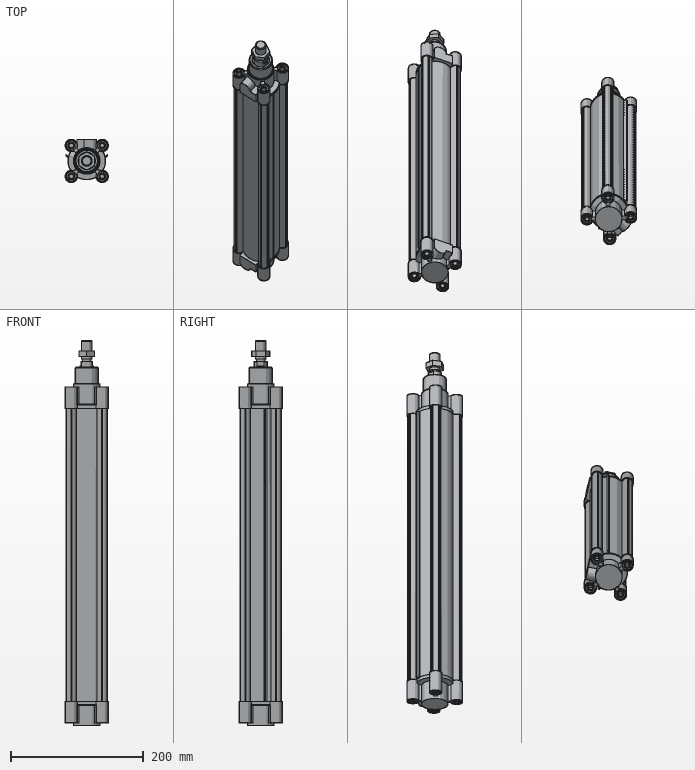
import cadquery as cq
import math


total_length = 580.0
cap_width = 65.0
lobe_diameter = 18.5
lobe_offset = (cap_width - lobe_diameter) / 2
lobe_centres = [(sx * lobe_offset, sy * lobe_offset) for sx in (-1, 1) for sy in (-1, 1)]

register_height = 4.0
cap_lobe_length = 32.5
cap_pair_length = 506.0
rear_barrel_end = register_height + cap_lobe_length
front_lobe_end = register_height + cap_pair_length
front_barrel_end = front_lobe_end - cap_lobe_length

neck_diameter = 40.0
plate_diameter = 56.5
plate_thickness = 5.0
plate_cone_height = 1.5
web_width = 6.0
port_block_width = 30.0
port_boss_diameter = 19.5
port_boss_offset = 5.25
port_boss_height = (plate_thickness + cap_lobe_length) / 2
screw_recess_steps = [(14.5, 1.0), (10.0, 3.0), (6.75, 14.0)]

front_register_height = 5.2
register_chamfer = 1.2
collar_diameter = 35.0
collar_top = 539.5
collar_chamfer = 1.4
collar_recess_diameter = 26.0
collar_recess_depth = 6.0

barrel_bore = 50.0
barrel_lobe_diameter = 16.0
lobe_groove_width = 1.5
lobe_groove_depth = 1.5
rail_root_x = 26.5
rail_tip_x = 31.0
rail_root_y = (3.5, 5.5)
rail_tip_y = (7.5, 9.5)

rod_diameter = 20.0
rod_flats = 17.0
rod_flats_length = 6.8
thread_diameter = 16.0
thread_length = 32.0
thread_chamfer = 1.5
undercut_diameter = 13.5
undercut_length = 3.5
shoulder_z = total_length - thread_length

nut_flats = 24.0
nut_height = 8.5
nut_bottom = 555.5


def cylinder(diameter, bottom, height, centres=((0, 0),)):
    """Upright cylinders of one diameter on the given centres."""
    return cq.Workplane("XY", origin=(0, 0, bottom)).pushPoints(centres).circle(diameter / 2).extrude(height)


def make_cap(neck_overhang):
    """End cap, barrel face on Z = 0 and lobe ends up; the neck rises past the lobes by the overhang."""
    neck_height = cap_lobe_length + neck_overhang
    neck_root = plate_thickness + plate_cone_height

    profile = [
        (0, 0),
        (plate_diameter / 2, 0),
        (plate_diameter / 2, plate_thickness),
        (neck_diameter / 2, neck_root),
        (neck_diameter / 2, neck_height),
        (0, neck_height),
    ]
    cap = cq.Workplane("XZ").polyline(profile).close().revolve()

    cap = cap.union(cylinder(lobe_diameter, 0, cap_lobe_length, lobe_centres))
    diagonal = 2 * math.hypot(lobe_offset, lobe_offset)
    for angle in (45, -45):
        web = cq.Workplane("XY").rect(diagonal, web_width).extrude(cap_lobe_length)
        cap = cap.union(web.rotate((0, 0, 0), (0, 0, 1), angle))

    port_block = (
        cq.Workplane("XY")
        .rect(port_block_width, cap_width / 2)
        .extrude(port_boss_height)
        .translate((0, cap_width / 4, 0))
    )
    port_boss = (
        cq.Workplane("XZ", origin=(port_boss_offset, 0, port_boss_height))
        .circle(port_boss_diameter / 2)
        .extrude(-cap_width / 2)
    )
    cap = cap.union(port_block).union(port_boss)

    for diameter, depth in screw_recess_steps:
        cap = cap.cut(cylinder(diameter, cap_lobe_length - depth, depth, lobe_centres))
    return cap


def make_front_cap():
    """Front cap with a register, a long collar and a passage for the rod."""
    cap = make_cap(front_register_height).translate((0, 0, front_barrel_end))
    cap = cap.faces(">Z").edges().chamfer(register_chamfer)
    collar = cylinder(collar_diameter, front_lobe_end, collar_top - front_lobe_end)
    collar = collar.faces(">Z").chamfer(collar_chamfer)
    cap = cap.union(collar)
    recess = cylinder(collar_recess_diameter, collar_top - collar_recess_depth, collar_recess_depth)
    rod_passage = cylinder(rod_diameter, front_barrel_end, collar_top - front_barrel_end)
    return cap.cut(recess).cut(rod_passage)


def make_rear_cap():
    """Rear cap, mirrored so that its lobe ends face down and its port still faces +Y."""
    return make_cap(register_height).mirror("XY").translate((0, 0, rear_barrel_end))


def make_barrel():
    """Round tube with four grooved corner lobes and a slanted sensor rail on each X side."""
    length = front_barrel_end - rear_barrel_end
    barrel = cylinder(plate_diameter, rear_barrel_end, length)
    barrel = barrel.union(cylinder(barrel_lobe_diameter, rear_barrel_end, length, lobe_centres))

    rail_points = [
        (rail_root_x, rail_root_y[0]),
        (rail_tip_x, rail_tip_y[0]),
        (rail_tip_x, rail_tip_y[1]),
        (rail_root_x, rail_root_y[1]),
    ]
    rail = cq.Workplane("XY", origin=(0, 0, rear_barrel_end)).polyline(rail_points).close().extrude(length)
    barrel = barrel.union(rail).union(rail.mirror("YZ"))

    lobe_reach = lobe_offset + barrel_lobe_diameter / 2
    groove = (
        cq.Workplane("XY", origin=(0, 0, rear_barrel_end))
        .pushPoints([(sx * lobe_offset, sy * lobe_reach) for sx in (-1, 1) for sy in (-1, 1)])
        .rect(lobe_groove_width, 2 * lobe_groove_depth)
        .extrude(length)
    )
    barrel = barrel.cut(groove).cut(groove.rotate((0, 0, 0), (0, 0, 1), 90))
    return barrel.cut(cylinder(barrel_bore, rear_barrel_end, length))


def make_rod():
    """Piston rod with wrench flats facing X, an undercut and a chamfered threaded end."""
    rod = cylinder(rod_diameter, front_barrel_end, shoulder_z - front_barrel_end)
    flats_zone = cylinder(2 * rod_diameter, shoulder_z - rod_flats_length, rod_flats_length)
    flats_core = (
        cq.Workplane("XY", origin=(0, 0, shoulder_z - rod_flats_length))
        .rect(rod_flats, 2 * rod_diameter)
        .extrude(rod_flats_length)
    )
    rod = rod.cut(flats_zone.cut(flats_core))
    rod = rod.union(cylinder(undercut_diameter, shoulder_z, undercut_length))
    thread = cylinder(thread_diameter, shoulder_z + undercut_length, thread_length - undercut_length)
    return rod.union(thread.faces(">Z").chamfer(thread_chamfer))


def make_nut():
    """Hexagonal lock nut with two flats facing X."""
    across_corners = nut_flats / math.cos(math.pi / 6)
    nut = cq.Workplane("XY", origin=(0, 0, nut_bottom)).polygon(6, across_corners).extrude(nut_height)
    nut = nut.rotate((0, 0, 0), (0, 0, 1), 90)
    return nut.cut(cylinder(thread_diameter, nut_bottom, nut_height))


rear_cap = make_rear_cap()
barrel = make_barrel()
front_cap = make_front_cap()
rod = make_rod()
nut = make_nut()

result = cq.Compound.makeCompound([rear_cap.val(), barrel.val(), front_cap.val(), rod.val(), nut.val()])